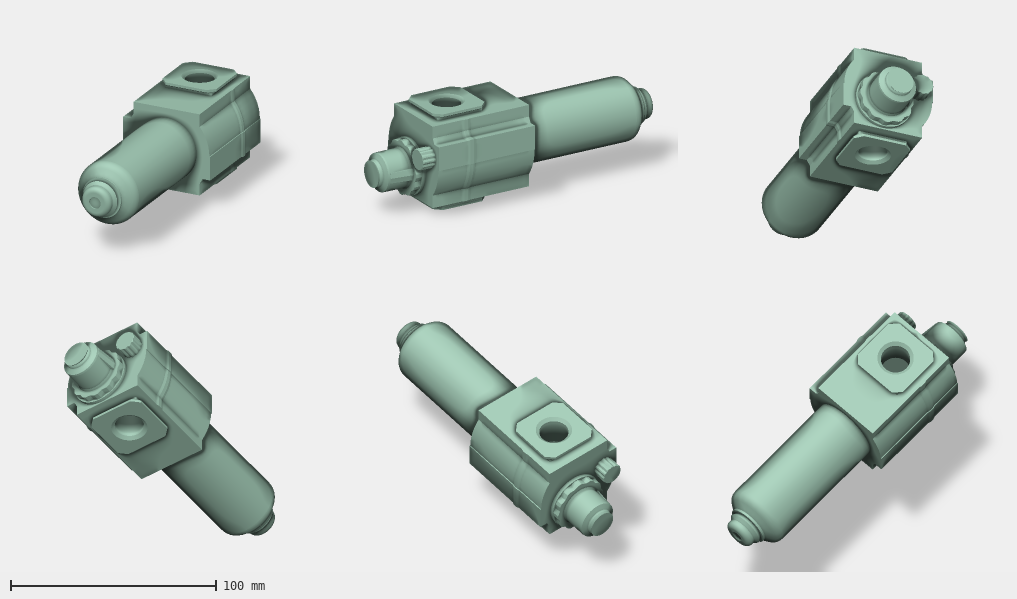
import cadquery as cq
import math


REAR_Y = 19.0
FRONT_Y = -36.0
CORE_HALF_WIDTH = 18.0
CORE_HEIGHT = 42.7
CORE_HALF_HEIGHT = CORE_HEIGHT / 2
SIDE_HALF_WIDTH = 23.8
SIDE_ARC_RADIUS = 23.3
LEDGE_Z = 12.5
LEDGE_CHAMFER_X = 1.5
LEDGE_CHAMFER_Z = 2.8

BAND_HEIGHT = 0.39
BAND_BASE_HALF_WIDTH = 2.5
BAND_TOP_HALF_WIDTH = 1.01

OVERALL_HEIGHT = 50.2
PAD_TOP_Z = OVERALL_HEIGHT / 2
PAD_SIZE = 29.7
PAD_NECK_SIZE = 25.8
PAD_NECK_TOP_Z = 22.7
PAD_RIM_BOTTOM_Z = 23.8
PAD_CORNER_CHAMFER = 3.7
PAD_NECK_CORNER_CHAMFER = 0.6
PORT_RADIUS = 7.1
PORT_MOUTH_RADIUS = 8.9
PORT_MOUTH_DEPTH = 1.4
PORT_DEPTH = 15.5

BOWL_RADIUS = 16.3
BOWL_ROUND_Y = -98.7
BOWL_ROUND_MID = (15.7, -101.0)
BOWL_CONE_RADIUS = 14.0
BOWL_CONE_Y = -102.9
BOWL_RIM_RADIUS = 10.4
BOWL_RIM_Y = -105.4
BOWL_END_Y = -106.6

DRAIN_NECK_RADIUS = 8.4
DRAIN_COLLAR_RADIUS = 9.3
DRAIN_COLLAR_Y = -108.5
DRAIN_TIP_RADIUS = 7.8
DRAIN_TIP_Y = -110.3
DRAIN_END_Y = -114.2
DRAIN_END_ROUND = 2.5
DRAIN_HOLE_RADIUS = 3.1
DRAIN_HOLE_DEPTH = 1.0

DOME_X = 3.0
DOME_Z = -6.0
DIAL_BASE_RADIUS = 14.6
DIAL_BASE_Y = 20.8
DIAL_RADIUS = 14.1
DIAL_TOP_Y = 24.2
DIAL_GROOVES = 12
DIAL_GROOVE_ANGLE = 22
DIAL_GROOVE_DEPTH = 1.0
DOME_FLARE_RADIUS = 10.5
DOME_FLARE_Y = 25.3
DOME_RADIUS = 10.0
DOME_ROUND_Y = 36.4
DOME_SHOULDER_RADIUS = 9.8
DOME_SHOULDER_Y = 37.3
DOME_NECK_RADIUS = 7.1
DOME_NECK_Y = 38.7
DOME_LIP_RADIUS = 6.8
DOME_LIP_Y = 39.5
DOME_LIP_GROOVE_RADIUS = 6.2
DOME_LIP_GROOVE_Y = 40.2
DOME_END_Y = 41.2

POINTER_LOW_RIDGE = 11.8
POINTER_LOW_EAVE = 11.0
POINTER_LOW_HALF_WIDTH = 3.0
POINTER_HIGH_RIDGE = 10.3
POINTER_HIGH_EAVE = 9.8
POINTER_HIGH_HALF_WIDTH = 2.6
POINTER_ROOT = 7.8

PLUG_X = -15.5
PLUG_Z = 4.7
PLUG_RADIUS = 5.5
PLUG_TOP_Y = 26.1
PLUG_EDGE_CHAMFER = 0.3
PLUG_GROOVES = 12
PLUG_GROOVE_ANGLE = 22
PLUG_GROOVE_DEPTH = 0.5


def at_y(y):
    """Sketch plane at position y with local axes X and Z; extruding by a negative length goes to +Y."""
    return cq.Workplane(cq.Plane(origin=(0, y, 0), xDir=(1, 0, 0), normal=(0, -1, 0)))


def revolve_about_y(sketch):
    """Revolve a closed (radius, y) sketch about the Y axis."""
    return sketch.close().revolve(360, (0, 0, 0), (0, 1, 0))


def housing_outline(y, grow=0.0):
    """Housing cross-section wire at y, widened sideways by grow; it repeats after half a turn about Y."""
    core_x = CORE_HALF_WIDTH + grow
    side_x = SIDE_HALF_WIDTH + grow
    ledge_z = LEDGE_Z + grow
    arc_radius = SIDE_ARC_RADIUS + grow
    arc_end_z = math.sqrt(arc_radius**2 - core_x**2)
    mid_angle = math.asin(arc_end_z / arc_radius) / 2
    mid_x = arc_radius * math.cos(mid_angle)
    mid_z = arc_radius * math.sin(mid_angle)

    sketch = at_y(y).moveTo(-core_x, CORE_HALF_HEIGHT)
    for turn in (1, -1):
        sketch = (
            sketch.lineTo(turn * core_x, turn * CORE_HALF_HEIGHT)
            .lineTo(turn * core_x, turn * arc_end_z)
            .threePointArc((turn * mid_x, turn * mid_z), (turn * arc_radius, 0))
            .lineTo(turn * side_x, 0)
            .lineTo(turn * side_x, -turn * ledge_z)
            .lineTo(turn * (core_x + LEDGE_CHAMFER_X), -turn * ledge_z)
            .lineTo(turn * core_x, -turn * (ledge_z + LEDGE_CHAMFER_Z))
            .lineTo(turn * core_x, -turn * CORE_HALF_HEIGHT)
        )
    return sketch.close().val()


def prism_between(outline_a, outline_b):
    """Straight-sided solid joining two outlines with matching edges."""
    return cq.Workplane(cq.Solid.makeLoft([outline_a, outline_b], True))


def make_band():
    """Raised band with a flat crest and a ramp down on each side."""
    crest_rear = housing_outline(BAND_TOP_HALF_WIDTH, BAND_HEIGHT)
    crest_front = housing_outline(-BAND_TOP_HALF_WIDTH, BAND_HEIGHT)
    crest = prism_between(crest_front, crest_rear)
    rear_ramp = prism_between(crest_rear, housing_outline(BAND_BASE_HALF_WIDTH))
    front_ramp = prism_between(housing_outline(-BAND_BASE_HALF_WIDTH), crest_front)
    return crest.union(rear_ramp).union(front_ramp)


def cut_corner_square(z, size, corner_chamfer):
    """Square wire at height z with its four corners cut off."""
    half = size / 2
    flat = half - corner_chamfer
    points = [
        (half, -flat),
        (half, flat),
        (flat, half),
        (-flat, half),
        (-half, flat),
        (-half, -flat),
        (-flat, -half),
        (flat, -half),
    ]
    return cq.Workplane("XY", origin=(0, 0, z)).polyline(points).close().val()


def make_port_pad():
    """Square neck flaring into a wider rim, both with cut corners."""
    neck_bottom = cut_corner_square(CORE_HALF_HEIGHT, PAD_NECK_SIZE, PAD_NECK_CORNER_CHAMFER)
    neck_top = cut_corner_square(PAD_NECK_TOP_Z, PAD_NECK_SIZE, PAD_NECK_CORNER_CHAMFER)
    rim_bottom = cut_corner_square(PAD_RIM_BOTTOM_Z, PAD_SIZE, PAD_CORNER_CHAMFER)
    rim_top = cut_corner_square(PAD_TOP_Z, PAD_SIZE, PAD_CORNER_CHAMFER)
    neck = prism_between(neck_bottom, neck_top)
    flare = prism_between(neck_top, rim_bottom)
    rim = prism_between(rim_bottom, rim_top)
    return neck.union(flare).union(rim)


def make_port_hole():
    """Blind port bore with a conical mouth."""
    floor_z = PAD_TOP_Z - PORT_DEPTH
    mouth_z = PAD_TOP_Z - PORT_MOUTH_DEPTH
    profile = [
        (0, floor_z),
        (PORT_RADIUS, floor_z),
        (PORT_RADIUS, mouth_z),
        (PORT_MOUTH_RADIUS, PAD_TOP_Z),
        (0, PAD_TOP_Z),
    ]
    return cq.Workplane("XZ").polyline(profile).close().revolve(360, (0, 0, 0), (0, 1, 0))


def make_housing():
    body = prism_between(housing_outline(FRONT_Y), housing_outline(REAR_Y))
    body = body.union(make_band())
    pad = make_port_pad()
    hole = make_port_hole()
    body = body.union(pad).union(pad.mirror("XY"))
    return body.cut(hole).cut(hole.mirror("XY"))


def make_bowl():
    return revolve_about_y(
        cq.Workplane("XY")
        .moveTo(0, FRONT_Y)
        .lineTo(BOWL_RADIUS, FRONT_Y)
        .lineTo(BOWL_RADIUS, BOWL_ROUND_Y)
        .threePointArc(BOWL_ROUND_MID, (BOWL_CONE_RADIUS, BOWL_CONE_Y))
        .lineTo(BOWL_RIM_RADIUS, BOWL_RIM_Y)
        .lineTo(BOWL_RIM_RADIUS, BOWL_END_Y)
        .lineTo(0, BOWL_END_Y)
    )


def make_drain():
    hole_floor_y = DRAIN_END_Y + DRAIN_HOLE_DEPTH
    return revolve_about_y(
        cq.Workplane("XY")
        .moveTo(0, BOWL_END_Y)
        .lineTo(DRAIN_NECK_RADIUS, BOWL_END_Y)
        .lineTo(DRAIN_COLLAR_RADIUS, DRAIN_COLLAR_Y)
        .lineTo(DRAIN_TIP_RADIUS, DRAIN_TIP_Y)
        .lineTo(DRAIN_TIP_RADIUS, DRAIN_END_Y + DRAIN_END_ROUND)
        .radiusArc((DRAIN_TIP_RADIUS - DRAIN_END_ROUND, DRAIN_END_Y), DRAIN_END_ROUND)
        .lineTo(DRAIN_HOLE_RADIUS, DRAIN_END_Y)
        .lineTo(DRAIN_HOLE_RADIUS, hole_floor_y)
        .lineTo(0, hole_floor_y)
    )


def v_groove_ring(count, radius, groove_angle, depth, start_y, end_y):
    """Cutters for V grooves along Y, evenly spaced around a round part with a land at its +Z side."""
    pitch = 360 / count
    half_angle = math.radians(groove_angle / 2)
    rim_half_width = radius * math.sin(half_angle)
    rim_z = radius * math.cos(half_angle)
    profile = [
        (0, radius - depth),
        (rim_half_width, rim_z),
        (rim_half_width, radius + depth),
        (-rim_half_width, radius + depth),
        (-rim_half_width, rim_z),
    ]
    cutter = at_y(start_y).polyline(profile).close().extrude(start_y - end_y)
    cutters = cq.Workplane()
    for index in range(count):
        cutters = cutters.add(cutter.rotate((0, 0, 0), (0, 1, 0), (index + 0.5) * pitch))
    return cutters.combine()


def pointer_outline(y, ridge, eave, half_width):
    """Roof-shaped section: a central ridge, two sloping faces and two side walls."""
    points = [
        (-POINTER_ROOT, half_width),
        (-eave, half_width),
        (-ridge, 0),
        (-eave, -half_width),
        (-POINTER_ROOT, -half_width),
    ]
    return at_y(y).polyline(points).close().val()


def make_sight_dome():
    profile = [
        (0, REAR_Y),
        (DIAL_BASE_RADIUS, REAR_Y),
        (DIAL_BASE_RADIUS, DIAL_BASE_Y),
        (DIAL_RADIUS, DIAL_BASE_Y),
        (DIAL_RADIUS, DIAL_TOP_Y),
        (DOME_FLARE_RADIUS, DIAL_TOP_Y),
        (DOME_RADIUS, DOME_FLARE_Y),
        (DOME_RADIUS, DOME_ROUND_Y),
        (DOME_SHOULDER_RADIUS, DOME_SHOULDER_Y),
        (DOME_NECK_RADIUS, DOME_NECK_Y),
        (DOME_LIP_RADIUS, DOME_LIP_Y),
        (DOME_LIP_GROOVE_RADIUS, DOME_LIP_GROOVE_Y),
        (DOME_LIP_RADIUS, DOME_END_Y),
        (0, DOME_END_Y),
    ]
    dome = revolve_about_y(cq.Workplane("XY").polyline(profile))
    pointer = prism_between(
        pointer_outline(DIAL_TOP_Y, POINTER_LOW_RIDGE, POINTER_LOW_EAVE, POINTER_LOW_HALF_WIDTH),
        pointer_outline(DOME_ROUND_Y, POINTER_HIGH_RIDGE, POINTER_HIGH_EAVE, POINTER_HIGH_HALF_WIDTH),
    )
    grooves = v_groove_ring(
        DIAL_GROOVES,
        DIAL_RADIUS,
        DIAL_GROOVE_ANGLE,
        DIAL_GROOVE_DEPTH,
        DIAL_BASE_Y,
        DIAL_TOP_Y,
    )
    return dome.union(pointer).cut(grooves).translate((DOME_X, 0, DOME_Z))


def make_fill_plug():
    plug = at_y(REAR_Y).circle(PLUG_RADIUS).extrude(REAR_Y - PLUG_TOP_Y)
    plug = plug.faces(">Y").chamfer(PLUG_EDGE_CHAMFER)
    grooves = v_groove_ring(
        PLUG_GROOVES,
        PLUG_RADIUS,
        PLUG_GROOVE_ANGLE,
        PLUG_GROOVE_DEPTH,
        REAR_Y,
        PLUG_TOP_Y,
    )
    return plug.cut(grooves).translate((PLUG_X, 0, PLUG_Z))


housing = make_housing()
bowl = make_bowl()
drain = make_drain()
sight_dome = make_sight_dome()
fill_plug = make_fill_plug()

result = cq.Compound.makeCompound([
    housing.val(),
    bowl.val(),
    drain.val(),
    sight_dome.val(),
    fill_plug.val(),
])